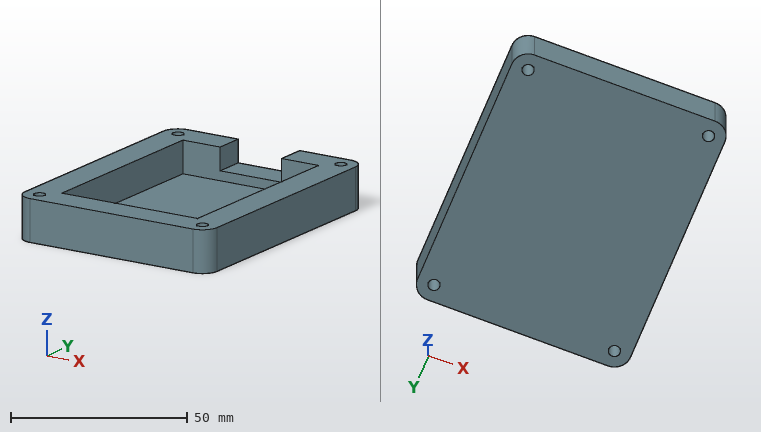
import cadquery as cq

width = 65.2
length = 81.9
height = 13.0
corner_radius = 5.0

pocket_width = 46.0
pocket_length = 62.9
floor_thickness = 3.0

notch_width = 20.8
notch_depth = 7.05

hole_diameter = 3.4
hole_spacing_x = width - 2 * corner_radius
hole_spacing_y = length - 2 * corner_radius

block = cq.Workplane("XY").box(width, length, height, centered=(True, True, False))
block = block.edges("|Z").fillet(corner_radius)

pocket = (
    cq.Workplane("XY")
    .workplane(offset=floor_thickness)
    .rect(pocket_width, pocket_length)
    .extrude(height - floor_thickness)
)

wall_thickness = (length - pocket_length) / 2
notch = (
    cq.Workplane("XY")
    .workplane(offset=height - notch_depth)
    .center(0, (length - wall_thickness) / 2)
    .rect(notch_width, wall_thickness)
    .extrude(notch_depth)
)

screw_holes = (
    cq.Workplane("XY")
    .rect(hole_spacing_x, hole_spacing_y, forConstruction=True)
    .vertices()
    .circle(hole_diameter / 2)
    .extrude(height)
)

result = block.cut(pocket).cut(notch).cut(screw_holes)